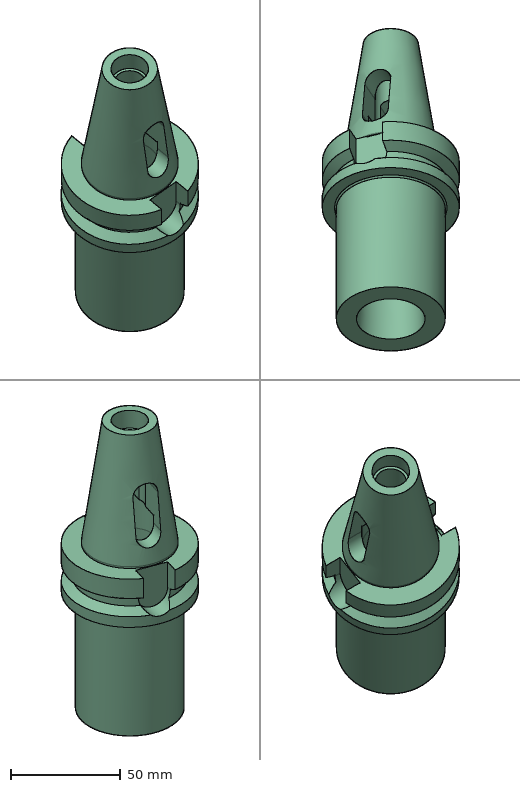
import cadquery as cq

total_height = 155.4
relief_bottom = 62.2
flange_bottom = 63.0
lip_top = 68.7
groove_bottom = 71.5
groove_top = 75.7
collar_bottom = 78.5
flange_top = 89.0
taper_bottom = 90.0

body_radius = 25.0
relief_radius = 25.8
flange_diameter = 63.0
flange_radius = flange_diameter / 2
groove_radius = 26.5
taper_base_radius = 22.2
taper_tip_radius = 12.7

keyway_width = 16.3
keyway_face = 22.5
keyway_bottom = 67.1

slot_width = 12.7
slot_bottom = 98.2
slot_top = 130.2

socket_mouth_radius = 15.7
socket_end_radius = 13.4
socket_taper_depth = 88.7
socket_depth = 108.8
through_radius = 7.1
counterbore_radius = 8.5
counterbore_depth = 9.6


def revolve_profile(points):
    """Revolve a closed (radius, height) outline about Z."""
    return cq.Workplane("XZ").polyline(points).close().revolve(360, (0, 0), (0, 1))


def make_blank():
    return revolve_profile([
        (0, 0),
        (body_radius, 0),
        (body_radius, relief_bottom),
        (relief_radius, flange_bottom),
        (flange_radius, flange_bottom),
        (flange_radius, lip_top),
        (groove_radius, groove_bottom),
        (groove_radius, groove_top),
        (flange_radius, collar_bottom),
        (flange_radius, flange_top),
        (taper_base_radius, flange_top),
        (taper_base_radius, taper_bottom),
        (taper_tip_radius, total_height),
        (0, total_height),
    ])


def make_bores():
    return revolve_profile([
        (0, 0),
        (socket_mouth_radius, 0),
        (socket_end_radius, socket_taper_depth),
        (socket_end_radius, socket_depth),
        (through_radius, socket_depth),
        (through_radius, total_height - counterbore_depth),
        (counterbore_radius, total_height - counterbore_depth),
        (counterbore_radius, total_height),
        (0, total_height),
    ])


def make_keyway(side):
    """Round-bottomed keyway, open at the flange top; side is +1 or -1 along X."""
    half_width = keyway_width / 2
    arc_center = keyway_bottom + half_width
    return (
        cq.Workplane("YZ", origin=(side * keyway_face, 0, 0))
        .moveTo(-half_width, flange_top)
        .lineTo(-half_width, arc_center)
        .threePointArc((0, keyway_bottom), (half_width, arc_center))
        .lineTo(half_width, flange_top)
        .close()
        .extrude(side * flange_radius)
    )


def make_tang_slot():
    return (
        cq.Workplane("YZ")
        .center(0, (slot_bottom + slot_top) / 2)
        .slot2D(slot_top - slot_bottom, slot_width, 90)
        .extrude(flange_radius, both=True)
    )


result = make_blank().cut(make_bores()).cut(make_tang_slot())
for side in (-1, 1):
    result = result.cut(make_keyway(side))